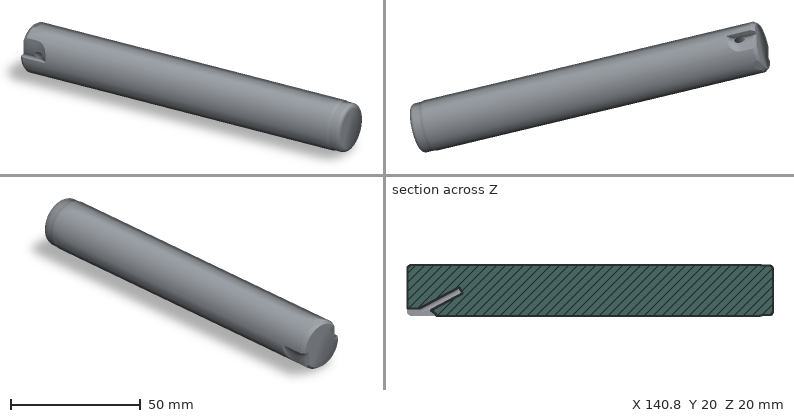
import cadquery as cq
import math

length = 140.8
shank_radius = 20.0 / 2
tip_chamfer_length = 1.4
tip_chamfer_depth = 1.0

rear_radius = 19.5 / 2
taper_start = length - 5.5
taper_end = length - 4.2
rear_fillet = 1.7

seat_wall_offset = 7.0
seat_flat_length = 6.0
seat_runout_radius = 6.3

coolant_diameter = 2.5
coolant_angle = 28.0
coolant_mouth_x = 7.3
coolant_height = 1.1
coolant_overrun = 1.3

relief_length = 3.7
relief_angle = 11.5


def make_shank():
    tip_radius = shank_radius - tip_chamfer_depth
    profile = (
        cq.Workplane("XY")
        .moveTo(0, 0)
        .lineTo(0, tip_radius)
        .lineTo(tip_chamfer_length, shank_radius)
        .lineTo(taper_start, shank_radius)
        .lineTo(taper_end, rear_radius)
        .lineTo(length, rear_radius)
        .lineTo(length, 0)
        .close()
    )
    shank = profile.revolve(360, (0, 0, 0), (1, 0, 0))
    return shank.faces(">X").edges().fillet(rear_fillet)


def make_seat():
    """Pocket on the -Y side, above the floor at Z = 0."""
    runout_center_y = -seat_wall_offset - seat_runout_radius
    runout_end_x = seat_flat_length + seat_runout_radius
    return (
        cq.Workplane("XY")
        .moveTo(0, -seat_wall_offset)
        .lineTo(seat_flat_length, -seat_wall_offset)
        .radiusArc((runout_end_x, runout_center_y), seat_runout_radius)
        .lineTo(0, runout_center_y)
        .close()
        .extrude(shank_radius)
    )


def make_coolant_hole():
    """Blind hole from within the seat to the middle plane of the shank."""
    angle = math.radians(coolant_angle)
    direction = cq.Vector(math.cos(angle), math.sin(angle), 0)
    mouth = cq.Vector(coolant_mouth_x, -seat_wall_offset, coolant_height)
    depth = seat_wall_offset / math.sin(angle)
    lead_in = coolant_overrun / math.sin(angle)
    start = mouth - direction * lead_in
    hole = cq.Solid.makeCylinder(coolant_diameter / 2, lead_in + depth, start, direction)
    return cq.Workplane(obj=hole)


def make_relief():
    """Wedge above the plane that slopes down toward the tip."""
    drop = relief_length * math.tan(math.radians(relief_angle))
    return (
        cq.Workplane("XZ")
        .moveTo(0, shank_radius)
        .lineTo(0, shank_radius - drop)
        .lineTo(relief_length, shank_radius)
        .close()
        .extrude(shank_radius, both=True)
    )


result = make_shank()
tip_cuts = make_seat().union(make_coolant_hole()).union(make_relief())
for turn in (0, 180):
    result = result.cut(tip_cuts.rotate((0, 0, 0), (1, 0, 0), turn))